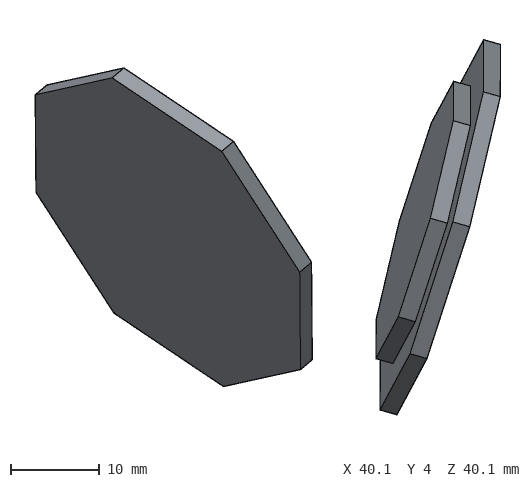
import cadquery as cq
import math

large_width = 40.15
small_width = 30.1
plate_thickness = 2.0
large_tilt = 0.4
small_tilt = 0.6
sides = 8


def octagon_plate(width, tilt, front_y):
    """Slightly tilted regular octagon, extruded toward +Y from front_y."""
    half_sector = 180.0 / sides
    corner_radius = width / 2 / math.cos(math.radians(half_sector - tilt))
    return (
        cq.Workplane("XZ", origin=(0, front_y, 0))
        .transformed(rotate=(0, 0, half_sector + tilt))
        .polygon(sides, 2 * corner_radius)
        .extrude(-plate_thickness)
    )


front_plate = octagon_plate(large_width, large_tilt, -plate_thickness)
back_plate = octagon_plate(small_width, small_tilt, 0)

result = front_plate.union(back_plate)